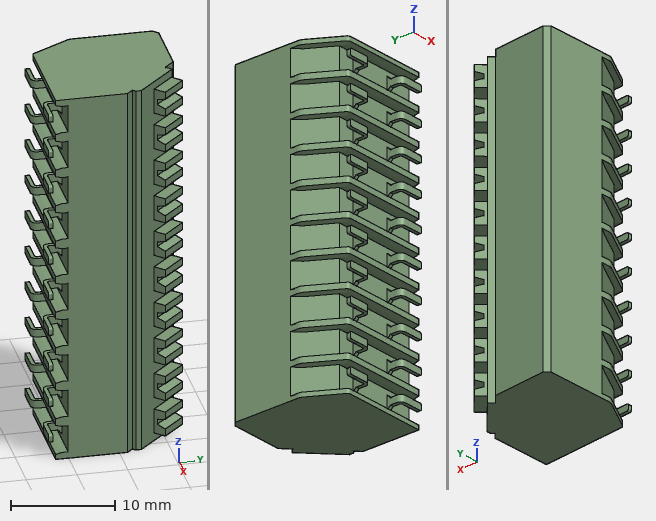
import cadquery as cq
import math

height = 38.5
width = 12.7
depth = 12.85
pole_count = 10
pole_pitch = 3.8
stack_margin = (height - pole_count * pole_pitch) / 2

back_chamfer = 0.55
toe_setback = 4.1
toe_angle = 60.0
toe_top_radius = 1.1
toe_bottom_radius = 0.45
toe_steepness = math.tan(math.radians(toe_angle))
toe_length = toe_setback / toe_steepness

corner_leg = 5.77
pad_start = 1.42
pad_end = 7.3
pad_height = 0.77
pad_chamfer = 0.4

core_setback = 1.25
rib_thickness = 0.7
flare_height = 0.16
flare_depth = core_setback / 2
rib_reach = 5.77

button_start = 1.55
button_length = 3.08
button_height = 1.27
button_width = 2.58
groove_top_width = 1.05
groove_floor_width = 0.5
groove_depth = 0.92

lead_centre_x = 7.12
lead_inner_offset = 2.3
lead_outer_offset = 5.27
lead_thickness = 0.42
lead_width = 0.8
lead_root_width = 1.65
lead_taper_length = 0.42
lead_drop = 0.6
lead_bend_radius = 0.2
lead_tip_radius = 0.25
lead_embed = 0.4

pole_centres = [stack_margin + (i + 0.5) * pole_pitch for i in range(pole_count)]
rib_centres = [stack_margin + i * pole_pitch for i in range(pole_count + 1)]

slope = cq.Plane(
    origin=(width - corner_leg, depth, 0),
    xDir=(1, -1, 0),
    normal=(0, 0, 1),
)


def mount_outline(workplane, inset):
    """Sharp outline of the toe and mounting side, moved inwards by inset."""
    toe_y = toe_setback + inset / math.cos(math.radians(toe_angle))
    return (
        workplane
        .moveTo((toe_y - inset) / toe_steepness, inset)
        .lineTo(width, inset)
        .lineTo(width, rib_reach)
        .lineTo(inset, rib_reach)
        .lineTo(inset, toe_y - inset * toe_steepness)
        .close()
    )


def make_core():
    """Full height block whose toe and mounting side are set back from the ribs."""
    core_toe_y = toe_setback + core_setback
    core_toe_length = (core_toe_y - core_setback) / toe_steepness
    return (
        cq.Workplane("XY")
        .moveTo(core_toe_length, core_setback)
        .lineTo(width, core_setback)
        .lineTo(width, depth - corner_leg)
        .lineTo(width - corner_leg, depth)
        .lineTo(back_chamfer, depth)
        .lineTo(0, depth - back_chamfer)
        .lineTo(0, core_toe_y)
        .close()
        .extrude(height)
    )


def make_pad():
    """Raised strip along the sloped corner, chamfered at its mounting side end."""
    return (
        cq.Workplane(slope)
        .moveTo(pad_start, -pad_height)
        .lineTo(pad_start, pad_height)
        .lineTo(pad_end - pad_chamfer, pad_height)
        .lineTo(pad_end, pad_height - pad_chamfer)
        .lineTo(pad_end, -pad_height)
        .close()
        .extrude(height)
    )


def make_rib():
    """One rib centred on Z = 0, its root flared on both faces."""
    half_rim = rib_thickness / 2
    rib = mount_outline(cq.Workplane("XY"), 0).extrude(half_rim, both=True)
    rim_face = cq.Workplane("XY").workplane(offset=half_rim)
    flare_base = mount_outline(rim_face, 0)
    flare = mount_outline(flare_base.workplane(offset=flare_height), flare_depth).loft(ruled=True)
    return rib.union(flare).union(flare.mirror("XY"))


def make_envelope():
    """Block between the stack ends whose toe corners are rounded along the ribs."""
    envelope = (
        cq.Workplane("XY")
        .moveTo(toe_length, 0)
        .lineTo(width, 0)
        .lineTo(width, 2 * depth)
        .lineTo(0, 2 * depth)
        .lineTo(0, toe_setback)
        .close()
        .extrude(height)
    )
    toe_top = cq.NearestToPointSelector((0, toe_setback, height / 2))
    toe_bottom = cq.NearestToPointSelector((toe_length, 0, height / 2))
    envelope = envelope.edges("|Z").edges(toe_top).fillet(toe_top_radius)
    return envelope.edges("|Z").edges(toe_bottom).fillet(toe_bottom_radius)


def make_button():
    """Block centred on Z = 0 with a tapered groove along its middle."""
    top = pad_height + button_height
    block = (
        cq.Workplane(slope)
        .moveTo(button_start, 0)
        .lineTo(button_start + button_length, 0)
        .lineTo(button_start + button_length, top)
        .lineTo(button_start, top)
        .close()
        .extrude(button_width / 2, both=True)
    )
    groove_plane = cq.Plane(
        origin=slope.toWorldCoords((button_start, top, 0)).toTuple(),
        xDir=(0, 0, 1),
        normal=slope.xDir.toTuple(),
    )
    groove = (
        cq.Workplane(groove_plane)
        .moveTo(-groove_top_width / 2, 0)
        .lineTo(groove_top_width / 2, 0)
        .lineTo(groove_floor_width / 2, groove_depth)
        .lineTo(-groove_floor_width / 2, groove_depth)
        .close()
        .extrude(button_length)
    )
    return block.cut(groove)


def make_lead():
    """Right-hand lead of a pair, centred on Z = 0, its foot pointing to +X."""
    leg_left = lead_centre_x + lead_inner_offset
    leg_right = leg_left + lead_thickness
    foot_end = lead_centre_x + lead_outer_offset
    foot_top = lead_thickness - lead_drop
    root_y = core_setback + lead_embed
    lead = (
        cq.Workplane("XY")
        .moveTo(leg_left, root_y)
        .lineTo(leg_left, -lead_drop)
        .lineTo(foot_end, -lead_drop)
        .lineTo(foot_end, foot_top)
        .lineTo(leg_right, foot_top)
        .lineTo(leg_right, root_y)
        .close()
        .extrude(lead_width / 2, both=True)
    )
    inner_corner = cq.NearestToPointSelector((leg_right, foot_top, 0))
    outer_corner = cq.NearestToPointSelector((leg_left, -lead_drop, 0))
    lead = lead.edges("|Z").edges(inner_corner).fillet(lead_bend_radius)
    lead = lead.edges("|Z").edges(outer_corner).fillet(lead_bend_radius + lead_thickness)
    lead = lead.faces(">X").edges("|Y").fillet(lead_tip_radius)

    root = (
        cq.Workplane("YZ", origin=(leg_left, 0, 0))
        .moveTo(core_setback - lead_taper_length, -lead_width / 2)
        .lineTo(core_setback, -lead_root_width / 2)
        .lineTo(root_y, -lead_root_width / 2)
        .lineTo(root_y, lead_root_width / 2)
        .lineTo(core_setback, lead_root_width / 2)
        .lineTo(core_setback - lead_taper_length, lead_width / 2)
        .close()
        .extrude(lead_thickness)
    )
    return lead.union(root)


housing = make_core().union(make_pad())

rib = make_rib()
for z in rib_centres:
    housing = housing.union(rib.translate((0, 0, z)))

housing = housing.intersect(make_envelope())

button = make_button()
right_lead = make_lead()
left_lead = right_lead.mirror("YZ", (lead_centre_x, 0, 0))
for z in pole_centres:
    for feature in (button, left_lead, right_lead):
        housing = housing.union(feature.translate((0, 0, z)))

result = housing